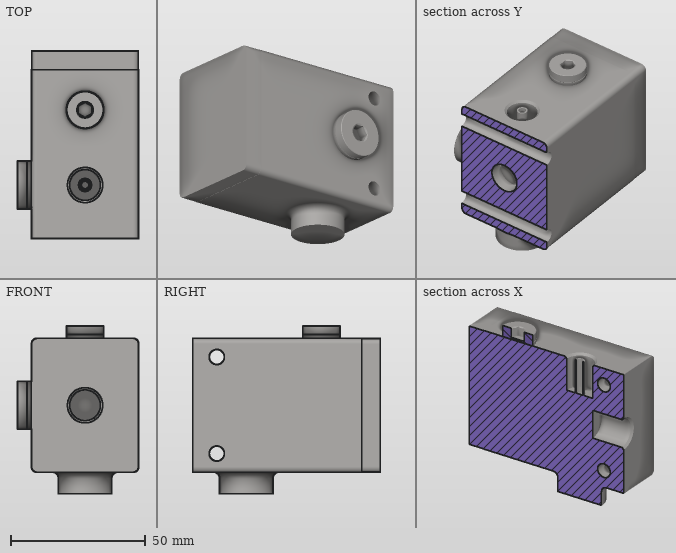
import cadquery as cq
import math

WIDTH = 40.0
LENGTH = 70.0
HEIGHT = 50.0
CORNER_RADIUS = 2.0

COVER_THICKNESS = 7.0
COVER_INSET = 0.1

PORT_STATION = 20.0
TOP_PLUG_STATION = 48.0
PORT_DIAMETER = 11.5
PORT_MOUTH_DIAMETER = 13.15
PORT_DEPTH = 14.0
PORT_CHAMFER = (PORT_MOUTH_DIAMETER - PORT_DIAMETER) / 2

POST_DIAMETER = 4.0
POST_FOOT_DIAMETER = 4.9
POST_FOOT_HEIGHT = 0.3
POST_BORE = 2.8

MOUNT_DIAMETER = 5.5
MOUNT_STATION = 9.0
MOUNT_PITCH = 36.0

BOSS_DIAMETER = 20.0
BOSS_HEIGHT = 8.0
BOSS_FILLET = 2.0

TOP_PLUG_DIAMETER = 14.0
TOP_PLUG_HEIGHT = 4.6
TOP_PLUG_HEX = 5.0
TOP_PLUG_HEX_DEPTH = 3.85
SIDE_PLUG_DIAMETER = 18.0
SIDE_PLUG_HEIGHT = 5.25
SIDE_PLUG_HEX = 6.0
SIDE_PLUG_HEX_DEPTH = 4.55
TOP_PLUG_COLLAR = 1.25
SIDE_PLUG_COLLAR = 1.5
PLUG_EDGE = 0.2
HEX_LEAD_IN = 0.35
LEAD_IN_TAPER = 60

TOP = HEIGHT / 2
LEFT = -WIDTH / 2


def rounded_bar(start, length, inset):
    """Bar along +Y with rounded long edges, smaller than the block by the inset on each long side."""
    bar = cq.Workplane("XY").box(
        WIDTH - 2 * inset, length, HEIGHT - 2 * inset, centered=(True, False, True)
    )
    return bar.edges("|Y").fillet(CORNER_RADIUS).translate((0, start, 0))


def port():
    """Cutter for a port going down from Z = 0, with a chamfered mouth."""
    bore = cq.Workplane("XY").circle(PORT_DIAMETER / 2).extrude(-PORT_DEPTH)
    mouth = cq.Workplane("XY").circle(PORT_MOUTH_DIAMETER / 2).extrude(-PORT_CHAMFER, taper=45)
    return bore.union(mouth)


def post():
    """Hollow post with a conical foot, rising from the port floor to Z = 0."""
    profile = [
        (POST_BORE / 2, -PORT_DEPTH),
        (POST_FOOT_DIAMETER / 2, -PORT_DEPTH),
        (POST_DIAMETER / 2, -PORT_DEPTH + POST_FOOT_HEIGHT),
        (POST_DIAMETER / 2, 0),
        (POST_BORE / 2, 0),
    ]
    return cq.Workplane("XZ").polyline(profile).close().revolve(360, (0, 0, 0), (0, 1, 0))


def boss():
    """Round boss below the block, blended into the underside by a concave fillet."""
    radius = BOSS_DIAMETER / 2
    mid_arc = BOSS_FILLET * (1 - math.sqrt(0.5))
    return (
        cq.Workplane("XZ")
        .lineTo(radius + BOSS_FILLET, 0)
        .threePointArc((radius + mid_arc, -mid_arc), (radius, -BOSS_FILLET))
        .lineTo(radius, -BOSS_HEIGHT)
        .lineTo(0, -BOSS_HEIGHT)
        .close()
        .revolve(360, (0, 0, 0), (0, 1, 0))
    )


def make_housing():
    main = rounded_bar(0, LENGTH - COVER_THICKNESS, 0)
    cover = rounded_bar(LENGTH - COVER_THICKNESS, COVER_THICKNESS, COVER_INSET)
    body = main.union(cover).union(boss().translate((0, PORT_STATION, -TOP)))

    front_port = port().rotate((0, 0, 0), (1, 0, 0), 90)
    top_port = port().cut(post()).translate((0, PORT_STATION, TOP))
    body = body.cut(front_port).cut(top_port)

    mount_holes = (
        cq.Workplane("YZ")
        .pushPoints([(MOUNT_STATION, side * MOUNT_PITCH / 2) for side in (-1, 1)])
        .circle(MOUNT_DIAMETER / 2)
        .extrude(WIDTH / 2, both=True)
    )
    return body.cut(mount_holes)


def make_plug(diameter, height, collar, hex_flats, hex_depth):
    """Plug standing on Z = 0: plain collar, chamfered head and a hexagon socket with corners on Y."""
    radius = diameter / 2
    profile = [
        (0, 0),
        (radius, 0),
        (radius, collar),
        (radius - PLUG_EDGE, collar),
        (radius, collar + PLUG_EDGE),
        (radius, height - PLUG_EDGE),
        (radius - PLUG_EDGE, height),
        (0, height),
    ]
    plug = cq.Workplane("XZ").polyline(profile).close().revolve(360, (0, 0, 0), (0, 1, 0))

    corner_diameter = hex_flats / math.cos(math.pi / 6)
    top_plane = cq.Workplane("XY").workplane(offset=height)
    socket = top_plane.transformed(rotate=(0, 0, 90)).polygon(6, corner_diameter).extrude(-hex_depth)
    mouth_diameter = corner_diameter + HEX_LEAD_IN
    lead_in_depth = (mouth_diameter - hex_flats) / 2 / math.tan(math.radians(LEAD_IN_TAPER))
    lead_in = top_plane.circle(mouth_diameter / 2).extrude(-lead_in_depth, taper=LEAD_IN_TAPER)
    return plug.cut(socket).cut(lead_in)


housing = make_housing()

top_plug = make_plug(
    TOP_PLUG_DIAMETER, TOP_PLUG_HEIGHT, TOP_PLUG_COLLAR, TOP_PLUG_HEX, TOP_PLUG_HEX_DEPTH
).translate((0, TOP_PLUG_STATION, TOP))

side_plug = (
    make_plug(SIDE_PLUG_DIAMETER, SIDE_PLUG_HEIGHT, SIDE_PLUG_COLLAR, SIDE_PLUG_HEX, SIDE_PLUG_HEX_DEPTH)
    .rotate((0, 0, 0), (0, 1, 0), -90)
    .translate((LEFT, PORT_STATION, 0))
)

result = cq.Compound.makeCompound([housing.val(), top_plug.val(), side_plug.val()])